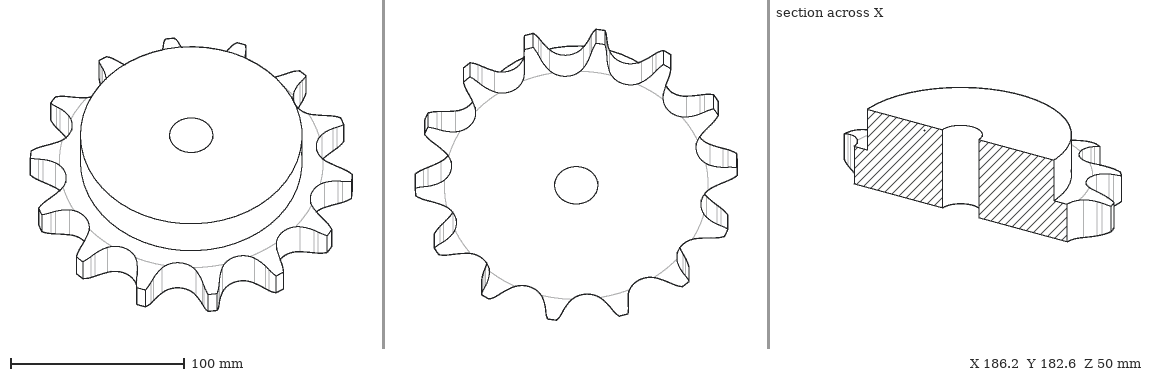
import cadquery as cq
import math

tooth_count = 14
roller_diameter = 25.3
pitch_diameter = 171.3
tip_diameter = 186.2

plate_thickness = 24.2
overall_height = 50.0
hub_diameter = 128.0
bore_diameter = 25.0

side_round_start_radius = 76.2
side_round_radius = 38.2

pitch_radius = pitch_diameter / 2
tip_radius = tip_diameter / 2
half_tooth_angle = math.pi / tooth_count
cutter_overshoot = 1.9


def polar_offset(origin, distance, angle):
    """Point at the given distance and angle (radians) from an origin."""
    return (
        origin[0] + distance * math.cos(angle),
        origin[1] + distance * math.sin(angle),
    )


def mirrored(point):
    """The same point on the other side of the gap's centre line."""
    return (-point[0], point[1])


def make_blank():
    """Toothless disc whose rim curves in on both faces, tangent to the faces."""
    round_width = tip_radius - side_round_start_radius

    def side_round_drop(distance):
        return side_round_radius - math.sqrt(side_round_radius**2 - distance**2)

    rim_drop = side_round_drop(round_width)
    mid_drop = side_round_drop(round_width / 2)
    mid_radius = side_round_start_radius + round_width / 2

    return (
        cq.Workplane("XZ")
        .lineTo(side_round_start_radius, 0)
        .threePointArc((mid_radius, mid_drop), (tip_radius, rim_drop))
        .lineTo(tip_radius, plate_thickness - rim_drop)
        .threePointArc(
            (mid_radius, plate_thickness - mid_drop),
            (side_round_start_radius, plate_thickness),
        )
        .lineTo(0, plate_thickness)
        .close()
        .revolve(360, (0, 0), (0, 1))
    )


def make_gap_cutter():
    """One tooth gap on the +Y axis, in the ASA roller-chain tooth form.

    From the root outwards each flank is a seating arc, a working arc,
    a short straight stretch and a convex topping arc.
    """
    seating_radius = 0.5025 * roller_diameter
    working_centre_distance = 0.8 * roller_diameter
    working_radius = seating_radius + working_centre_distance
    topping_centre_distance = 1.4 * roller_diameter
    seating_angle = math.radians(35 + 60 / tooth_count)
    working_angle = math.radians(18 - 56 / tooth_count)
    flank_angle = seating_angle - working_angle

    roller_centre = (0, pitch_radius)
    working_centre = polar_offset(roller_centre, working_centre_distance, math.pi - seating_angle)
    topping_centre = polar_offset(roller_centre, topping_centre_distance, -half_tooth_angle)

    centre_gap = (
        (topping_centre[0] - working_centre[0]) * math.cos(flank_angle)
        - (topping_centre[1] - working_centre[1]) * math.sin(flank_angle)
    )
    topping_radius = centre_gap - working_radius

    root = (0, pitch_radius - seating_radius)
    seating_end = polar_offset(roller_centre, seating_radius, -seating_angle)
    working_middle = polar_offset(working_centre, working_radius, -(seating_angle + flank_angle) / 2)
    working_end = polar_offset(working_centre, working_radius, -flank_angle)

    topping_start_angle = math.pi - flank_angle
    topping_centre_radius = math.hypot(*topping_centre)
    outer_radius = tip_radius + cutter_overshoot
    tip_cosine = (outer_radius**2 - topping_centre_radius**2 - topping_radius**2) / (
        2 * topping_centre_radius * topping_radius
    )
    topping_end_angle = math.atan2(topping_centre[1], topping_centre[0]) + math.acos(tip_cosine)
    topping_middle_angle = (topping_start_angle + topping_end_angle) / 2
    topping_start = polar_offset(topping_centre, topping_radius, topping_start_angle)
    topping_middle = polar_offset(topping_centre, topping_radius, topping_middle_angle)
    topping_end = polar_offset(topping_centre, topping_radius, topping_end_angle)

    return (
        cq.Workplane("XY")
        .moveTo(*mirrored(seating_end))
        .threePointArc(root, seating_end)
        .threePointArc(working_middle, working_end)
        .lineTo(*topping_start)
        .threePointArc(topping_middle, topping_end)
        .threePointArc((0, outer_radius), mirrored(topping_end))
        .threePointArc(mirrored(topping_middle), mirrored(topping_start))
        .lineTo(*mirrored(working_end))
        .threePointArc(mirrored(working_middle), mirrored(seating_end))
        .close()
        .extrude(plate_thickness)
    )


sprocket = make_blank()

gap_cutter = make_gap_cutter()
for index in range(tooth_count):
    turn = index * 360 / tooth_count
    sprocket = sprocket.cut(gap_cutter.rotate((0, 0, 0), (0, 0, 1), turn))

hub = cq.Workplane("XY").circle(hub_diameter / 2).extrude(overall_height)
sprocket = sprocket.union(hub)

bore = cq.Workplane("XY").circle(bore_diameter / 2).extrude(overall_height)
result = sprocket.cut(bore)